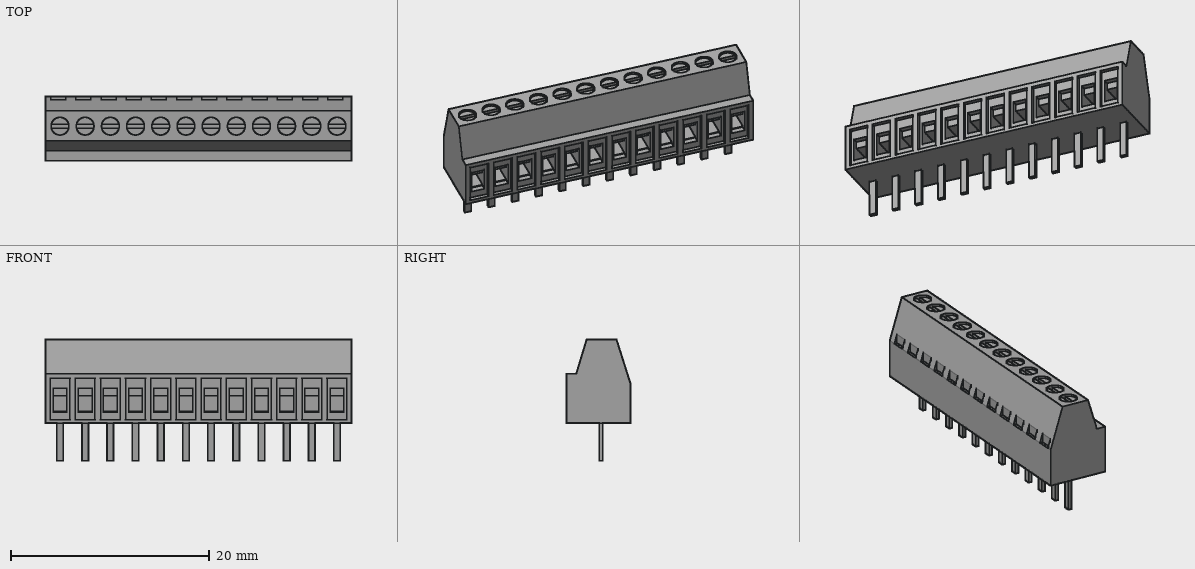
import cadquery as cq


pole_count = 12
row_span = 27.95
pitch = row_span / (pole_count - 1)
pole_xs = [-row_span / 2 + i * pitch for i in range(pole_count)]

length = 30.88
depth = 6.5
height = 8.45
overall_height = 12.25
axis_to_back = 3.0
back_y = axis_to_back
front_y = back_y - depth
top_back_inset = 1.42
top_depth = 3.03
shelf_depth = 1.0
shelf_z = 5.0
back_slope_z = 3.98

frame_width = 1.98
frame_height = 4.17
frame_bottom_z = 0.37
frame_depth = 0.4

wire_hole_width = 1.4
mouth_bottom_z = 1.1
mouth_top_z = 3.52
mouth_depth = 0.6
throat_bottom_z = 1.2
throat_top_z = 2.78

notch_width = 1.5
notch_depth = 0.3
notch_shift = -0.2

screw_diameter = 1.8
screw_sink = 0.22
slot_width = 0.4
slot_depth = 0.5
screw_top_z = height - screw_sink

bar_length = row_span + frame_width
bar_front_y = front_y + frame_depth
bar_back_wall = 0.62
bar_back_y = back_y - bar_back_wall
bar_bottom_z = frame_bottom_z
bar_top_z = frame_bottom_z + frame_height
throat_end_y = screw_diameter / 2

pin_width = 0.68
pin_thickness = 0.37
pin_length = overall_height - height


def block(x, width, y_front, y_back, z_bottom, z_top):
    """Box centred on x, between the given Y and Z limits."""
    size = (width, y_back - y_front, z_top - z_bottom)
    corner = (x - width / 2, y_front, z_bottom)
    return cq.Workplane("XY").box(*size, centered=False).translate(corner)


def contact_bar():
    """Plain bar, also the shape of the cavity that holds it."""
    return block(0, bar_length, bar_front_y, bar_back_y, bar_bottom_z, bar_top_z)


def pin(x):
    """Solder pin from the bar down through the underside of the housing."""
    return block(x, pin_width, -pin_thickness / 2, pin_thickness / 2, -pin_length, bar_bottom_z)


def screw_cylinder(x, top_z):
    """Cylinder of the screw diameter from the bar up to top_z."""
    return (
        cq.Workplane("XY", origin=(x, 0, bar_top_z))
        .circle(screw_diameter / 2)
        .extrude(top_z - bar_top_z)
    )


def screw(x):
    """Screw with a driver slot along X across its head."""
    slot = block(
        x, screw_diameter, -slot_width / 2, slot_width / 2, screw_top_z - slot_depth, screw_top_z
    )
    return screw_cylinder(x, screw_top_z).cut(slot)


def frame(x):
    """Opening through the front wall to the contact strip."""
    return block(x, frame_width, front_y, bar_front_y, bar_bottom_z, bar_top_z)


def wire_hole(x):
    """Blind stepped hole in the front of the bar."""
    mouth_end_y = bar_front_y + mouth_depth
    mouth = block(x, wire_hole_width, bar_front_y, mouth_end_y, mouth_bottom_z, mouth_top_z)
    throat = block(x, wire_hole_width, mouth_end_y, throat_end_y, throat_bottom_z, throat_top_z)
    return mouth.union(throat)


def back_notch(x):
    """Notch that runs out through the leaning back face."""
    return block(
        x + notch_shift, notch_width, back_y - notch_depth, back_y, back_slope_z, height
    )


def housing_blank():
    """Housing profile extruded along X."""
    top_back_y = back_y - top_back_inset
    profile = [
        (front_y, 0),
        (back_y, 0),
        (back_y, back_slope_z),
        (top_back_y, height),
        (top_back_y - top_depth, height),
        (front_y + shelf_depth, shelf_z),
        (front_y, shelf_z),
    ]
    return cq.Workplane("YZ").polyline(profile).close().extrude(length / 2, both=True)


def make_housing():
    """Housing with frames, back notches and the cavity for the contact strip."""
    body = housing_blank().cut(contact_bar())
    for x in pole_xs:
        body = body.cut(frame(x))
        body = body.cut(back_notch(x))
        body = body.cut(screw_cylinder(x, height))
        body = body.cut(pin(x))
    return body


def make_contact_strip():
    """Bar with a wire hole, a screw and a pin at every pole."""
    strip = contact_bar()
    for x in pole_xs:
        strip = strip.cut(wire_hole(x)).union(screw(x)).union(pin(x))
    return strip


housing = make_housing()
contact_strip = make_contact_strip()

result = cq.Compound.makeCompound([housing.solids().val(), contact_strip.solids().val()])